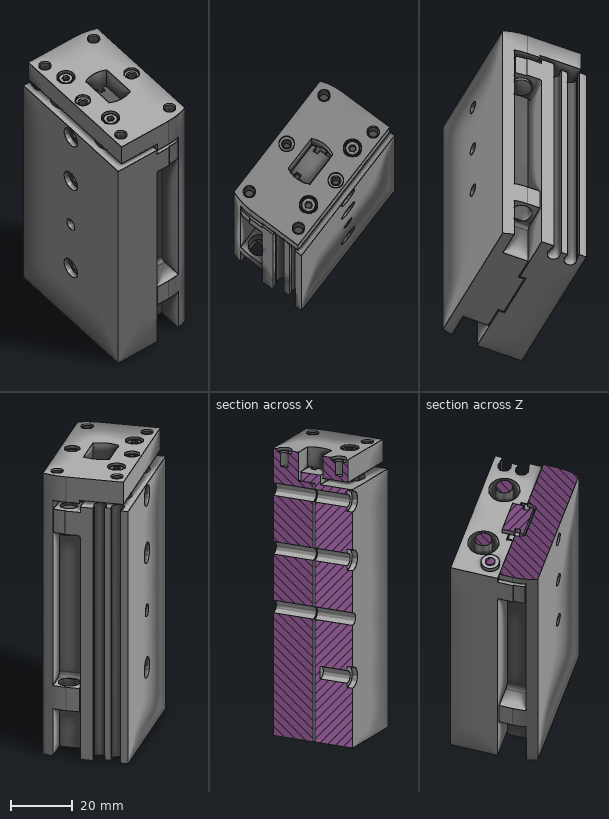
import cadquery as cq
import math


length = 98.0
housing_half_width = 25.0
table_half_width = 24.6
total_depth = 29.0
margin = 0.1
flank_start_y = 20.9
flank_radius = 22.5

housing_top = 88.1
housing_rear_y = 16.0
groove_bore_diameter = 4.1
groove_depth = 5.5
groove_mouth_depth = 1.6
groove_slot_width = 3.7
middle_land_recess = 1.6
groove_bands = [(2.5, 5.9), (8.6, 11.7)]
rail_half_width = 5.9
rail_front_y = 11.7
rail_rear_y = 19.0
rail_top = 91.3
rail_notch_depth = 1.5
rail_notch_band = (15.8, 17.5)
channel_floor_y = 13.9
channel_half_width = 8.2

hole_pitch = 20.0
top_mount_z = 84.0
mount_hole_diameter = 4.1
mount_recess_diameter = 7.0
mount_recess_depth = 2.0
blind_mount_depth = 11.8
mount_zs = [top_mount_z - i * hole_pitch for i in range(4)]
through_mount_zs = mount_zs[:3]
recessed_mount_zs = mount_zs[:2] + mount_zs[3:]
blind_mount_z = mount_zs[3]

lug_inner_x = 15.9
lug_flank_half_width = 24.7
lug_land_rear_y = 21.2
housing_lug_bottom = 78.1
housing_lug_top = 86.2
housing_lug_rear_y = 25.1
lug_corner_radius = 1.0
table_lug_bottom = 16.5
table_lug_top = 24.6
stop_x = 20.0
stop_y = 21.0
stop_pad_diameter = 7.0
stop_pad_height = 1.0
stop_hole_diameter = 7.0
stop_screw_recess_diameter = 5.6
stop_screw_recess_depth = 1.0
bumper_y = 12.0
bumper_diameter = 6.0
bumper_height = 1.5
bumper_neck_diameter = 3.2

plate_front_y = 1.7
plate_bottom = 90.3
wing_bottom = 89.2
back_plate_front_y = 25.4
rib_front_y = 16.4
rib_half_width = 15.4
rib_fillet = 1.8
tongue_clearance = 0.4
window_half_height = 4.3
window_half_width = 7.3
window_corner_x = 6.2
window_center_y = 15.3

tapped_diameter = 3.2
tapped_chamfer = 0.4
tapped_depth = 5.9
tapped_front_y = 5.0
tapped_rear_y = tapped_front_y + hole_pitch
center_recess_diameter = 5.0
center_recess_depth = 1.0
center_hole_diameter = 2.45
center_chamfer = 0.4
center_hole_depth = 4.9
piston_x = 11.8
piston_y = 7.2
screw_recess_diameter = 5.9
screw_recess_depth = 1.5
screw_head_diameter = 5.0
screw_head_chamfer = 0.3
screw_head_height = 1.0
screw_socket_diameter = 2.45
screw_socket_depth = 2.0
piston_rod_diameter = 5.6
piston_bore_diameter = 10.0
piston_bore_floor = 68.6


def block(x_range, y_range, z_range):
    """Box spanning the given ranges."""
    sizes = [high - low for low, high in (x_range, y_range, z_range)]
    return cq.Workplane("XY").box(*sizes, centered=False).translate((x_range[0], y_range[0], z_range[0]))


def rod(x, y, diameter, z_range):
    """Cylinder along Z."""
    bottom, top = z_range
    return cq.Workplane("XY", origin=(x, y, bottom)).circle(diameter / 2).extrude(top - bottom)


def cross_rod(z, diameter, depth):
    """Cylinder along +Y from the mounting face, on the center plane."""
    return cq.Workplane("XZ", origin=(0, 0, z)).circle(diameter / 2).extrude(-depth)


def flank_x(half_width, y):
    """Half width of a rounded flank at the given Y."""
    return half_width - flank_radius + math.sqrt(flank_radius**2 - (y - flank_start_y) ** 2)


def rounded_outline(half_width, y_range, z_range):
    """Plate whose two flanks curve inward beyond flank_start_y."""
    front, rear = y_range
    bottom, top = z_range
    middle = (flank_start_y + rear) / 2
    middle_x = flank_x(half_width, middle)
    rear_x = flank_x(half_width, rear)
    return (
        cq.Workplane("XY", origin=(0, 0, bottom))
        .moveTo(-half_width, front)
        .lineTo(half_width, front)
        .lineTo(half_width, flank_start_y)
        .threePointArc((middle_x, middle), (rear_x, rear))
        .lineTo(-rear_x, rear)
        .threePointArc((-middle_x, middle), (-half_width, flank_start_y))
        .close()
        .extrude(top - bottom)
    )


def side_groove(y_range):
    """Groove along Z in the -X side: narrow mouth, wider slot, then a round bore."""
    center_y = sum(y_range) / 2
    mouth_end_x = groove_mouth_depth - housing_half_width
    bore_x = groove_depth - groove_bore_diameter / 2 - housing_half_width
    slot_y = (center_y - groove_slot_width / 2, center_y + groove_slot_width / 2)
    z_range = (0, housing_top)
    mouth = block((-housing_half_width, mouth_end_x), y_range, z_range)
    slot = block((mouth_end_x, bore_x), slot_y, z_range)
    return mouth.union(slot).union(rod(bore_x, center_y, groove_bore_diameter, z_range))


def make_rail():
    """Short rail end with a notch along each side."""
    z_range = (housing_top, rail_top)
    rail = block((-rail_half_width, rail_half_width), (rail_front_y, rail_rear_y), z_range)
    notch_floor = rail_half_width - rail_notch_depth
    for x_range in [(-rail_half_width, -notch_floor), (notch_floor, rail_half_width)]:
        rail = rail.cut(block(x_range, rail_notch_band, z_range))
    return rail


def make_housing_lugs():
    """Pair of stop lugs behind the housing, with a stop pad and screw recess in the -X one."""
    z_range = (housing_lug_bottom, housing_lug_top)
    lugs = rounded_outline(lug_flank_half_width, (housing_rear_y, housing_lug_rear_y), z_range)
    outer_x = (-housing_half_width, housing_half_width)
    lugs = lugs.union(block(outer_x, (housing_rear_y, lug_land_rear_y), z_range))
    lugs = lugs.cut(block((-lug_inner_x, lug_inner_x), (housing_rear_y, total_depth), z_range))
    pad = rod(-stop_x, stop_y, stop_pad_diameter, (housing_lug_bottom - stop_pad_height, housing_lug_top))
    lugs = lugs.union(pad)
    recess_floor = housing_lug_top - stop_screw_recess_depth
    return lugs.cut(rod(-stop_x, stop_y, stop_screw_recess_diameter, (recess_floor, housing_lug_top)))


def make_housing():
    """Fixed body with side grooves, stop lugs, rail end, piston bores and mounting holes."""
    body = block((-housing_half_width, housing_half_width), (0, housing_rear_y), (0, housing_top))
    middle_land = (groove_bands[0][1], groove_bands[1][0])
    land_x = (-housing_half_width, middle_land_recess - housing_half_width)
    body = body.cut(block(land_x, middle_land, (0, housing_top)))
    for band in groove_bands:
        body = body.cut(side_groove(band))

    body = body.union(make_housing_lugs())
    corner = cq.selectors.BoxSelector(
        (-housing_half_width, housing_rear_y - margin, housing_lug_bottom - margin),
        (housing_half_width, housing_rear_y + margin, housing_lug_bottom + margin),
    )
    body = body.edges(corner).edges("|X").fillet(lug_corner_radius)

    channel_x = (-channel_half_width, channel_half_width)
    body = body.cut(block(channel_x, (channel_floor_y, housing_rear_y), (0, housing_top)))
    body = body.union(make_rail())

    body = body.union(rod(stop_x, bumper_y, bumper_diameter, (housing_top, housing_top + bumper_height)))
    body = body.union(rod(stop_x, bumper_y, bumper_neck_diameter, (housing_top, plate_bottom)))

    for x in (-piston_x, piston_x):
        body = body.cut(rod(x, piston_y, piston_bore_diameter, (piston_bore_floor, housing_top)))

    for z in through_mount_zs:
        body = body.cut(cross_rod(z, mount_hole_diameter, total_depth))
    for z in recessed_mount_zs:
        body = body.cut(cross_rod(z, mount_recess_diameter, mount_recess_depth))
    return body.cut(cross_rod(blind_mount_z, mount_hole_diameter, blind_mount_depth))


def side_pocket(side, z_range):
    """Clearance beside the rib, rounded where it meets the lug or end plate."""
    x_range = sorted((side * rib_half_width, side * (table_half_width + rib_fillet + margin)))
    pocket = block(x_range, (0, back_plate_front_y), z_range)
    inner_face = "<X" if side > 0 else ">X"
    return pocket.faces(inner_face).edges("|Y").fillet(rib_fillet)


def make_window():
    """Opening through the end plate with bowed sides, reaching down to the foot of the rail."""
    front = window_center_y - window_half_height
    rear = window_center_y + window_half_height
    return (
        cq.Workplane("XY", origin=(0, 0, housing_top))
        .moveTo(-window_corner_x, front)
        .lineTo(window_corner_x, front)
        .threePointArc((window_half_width, window_center_y), (window_corner_x, rear))
        .lineTo(-window_corner_x, rear)
        .threePointArc((-window_half_width, window_center_y), (-window_corner_x, front))
        .close()
        .extrude(length - housing_top)
    )


def chamfered_hole(x, y, diameter, chamfer, z_range):
    """Blind hole along Z with a chamfered mouth at its top."""
    return rod(x, y, diameter, z_range).union(
        cq.Workplane("XY", origin=(x, y, z_range[1]))
        .circle(diameter / 2 + chamfer)
        .workplane(offset=-chamfer)
        .circle(diameter / 2)
        .loft()
    )


def add_screw(table, x):
    """Screw through the end plate: sunk socket head above, piston rod reaching into the housing below."""
    floor = length - screw_recess_depth
    head_top = floor + screw_head_height
    table = table.cut(rod(x, piston_y, screw_recess_diameter, (floor, length)))
    head = rod(x, piston_y, screw_head_diameter, (floor, head_top))
    table = table.union(head.faces(">Z").chamfer(screw_head_chamfer))
    socket = (
        cq.Workplane("XY", origin=(x, piston_y, head_top))
        .polygon(6, screw_socket_diameter)
        .extrude(-screw_socket_depth)
    )
    table = table.cut(socket)
    return table.union(rod(x, piston_y, piston_rod_diameter, (piston_bore_floor, plate_bottom)))


def make_table():
    """Moving body: end plate, back plate, central rib, stop lugs and piston rods."""
    table = rounded_outline(table_half_width, (plate_front_y, total_depth), (0, length))
    wide = (-housing_half_width, housing_half_width)
    table = table.cut(block(wide, (0, rib_front_y), (0, plate_bottom)))
    for side, pocket_top in [(-1, wing_bottom), (1, wing_bottom - rib_fillet)]:
        table = table.cut(side_pocket(side, (table_lug_top, pocket_top)))
        table = table.cut(side_pocket(side, (-length, table_lug_bottom)))
    tongue_half_width = channel_half_width - tongue_clearance
    tongue_y = (channel_floor_y + tongue_clearance, rib_front_y)
    table = table.union(block((-tongue_half_width, tongue_half_width), tongue_y, (0, housing_top)))
    table = table.cut(make_window())
    table = table.cut(rod(-stop_x, stop_y, stop_hole_diameter, (table_lug_bottom, table_lug_top)))

    for x in (-hole_pitch, hole_pitch):
        for y in (tapped_front_y, tapped_rear_y):
            z_range = (length - tapped_depth, length)
            table = table.cut(chamfered_hole(x, y, tapped_diameter, tapped_chamfer, z_range))
    for y in (tapped_front_y, tapped_rear_y):
        floor = length - center_recess_depth
        z_range = (floor - center_hole_depth, floor)
        table = table.cut(rod(0, y, center_recess_diameter, (floor, length)))
        table = table.cut(chamfered_hole(0, y, center_hole_diameter, center_chamfer, z_range))
    for x in (-piston_x, piston_x):
        table = add_screw(table, x)

    for z in through_mount_zs:
        table = table.cut(cross_rod(z, mount_hole_diameter, total_depth))
    return table


housing = make_housing()
table = make_table()
result = cq.Compound.makeCompound([*housing.solids().vals(), *table.solids().vals()])